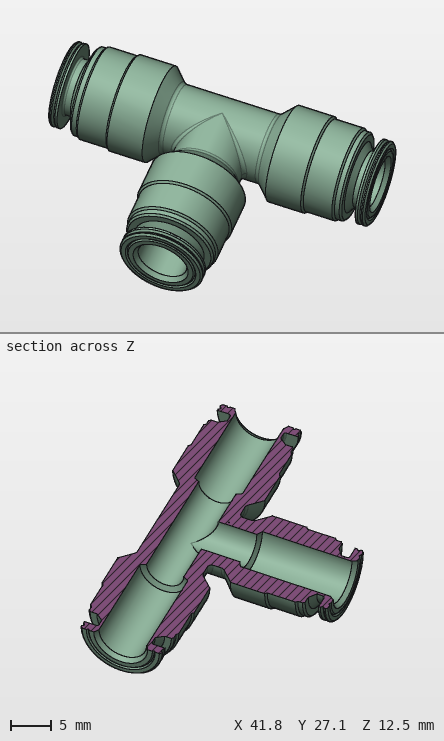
import cadquery as cq
import math

port_reach = 20.9
pipe_radius = 9.0 / 2
crotch_radius = 0.5

body_start = 8.15
body_radius = 12.5 / 2
sleeve_start = 13.05
sleeve_radius = 12.0 / 2
cap_start = 17.05
cap_radius = 11.5 / 2
cap_end = 17.95
step_bevel = 0.25
pipe_blend_radius = 0.7

collar_cone_radius = 4.6
neck_start = 18.65
neck_radius = 3.65
flange_start = 19.7
flange_radius = 5.48
groove_centre = 20.25
groove_half_width = 0.25
end_groove_radius = 4.47
end_groove_half_width = 0.19

flow_radius = 2.5
tube_radius = 3.2
mouth_radius = 3.65
mouth_depth = 0.63
tube_stop = body_start
stop_point_angle = 118
stop_length = (tube_radius - flow_radius) / math.tan(math.radians(stop_point_angle / 2))


def port_outside():
    """Solid port along +X, from the tee centre to the end face."""
    cone_start = body_start - (body_radius - pipe_radius)
    blend_mid_angle = math.radians(45) / 2
    blend_reach = pipe_blend_radius * math.tan(blend_mid_angle)
    blend_run = blend_reach * math.sqrt(0.5)
    blend_start = cone_start - blend_reach
    blend_mid = (
        blend_start + pipe_blend_radius * math.sin(blend_mid_angle),
        pipe_radius + pipe_blend_radius * (1 - math.cos(blend_mid_angle)),
    )
    blend_end = (cone_start + blend_run, pipe_radius + blend_run)
    neck_fillet_mid = step_bevel * (1 - math.sqrt(0.5))
    profile = (
        cq.Workplane("XY")
        .lineTo(0, pipe_radius)
        .lineTo(blend_start, pipe_radius)
        .threePointArc(blend_mid, blend_end)
        .lineTo(body_start, body_radius)
        .lineTo(sleeve_start - step_bevel, body_radius)
        .lineTo(sleeve_start, sleeve_radius)
        .lineTo(cap_start - step_bevel, sleeve_radius)
        .lineTo(cap_start, cap_radius)
        .lineTo(cap_end - step_bevel, cap_radius)
        .lineTo(cap_end, cap_radius - step_bevel)
        .lineTo(cap_end, collar_cone_radius)
        .lineTo(neck_start, neck_radius)
        .lineTo(flange_start - step_bevel, neck_radius)
        .threePointArc(
            (flange_start - neck_fillet_mid, neck_radius + neck_fillet_mid),
            (flange_start, neck_radius + step_bevel),
        )
        .lineTo(flange_start, flange_radius)
        .lineTo(groove_centre - groove_half_width, flange_radius)
        .lineTo(groove_centre, flange_radius - groove_half_width)
        .lineTo(groove_centre + groove_half_width, flange_radius)
        .lineTo(port_reach - step_bevel, flange_radius)
        .lineTo(port_reach, flange_radius - step_bevel)
        .lineTo(port_reach, end_groove_radius + end_groove_half_width)
        .lineTo(port_reach - end_groove_half_width, end_groove_radius)
        .lineTo(port_reach, end_groove_radius - end_groove_half_width)
        .lineTo(port_reach, 0)
        .close()
    )
    return profile.revolve(360, (0, 0, 0), (1, 0, 0))


def port_bore():
    """Stepped bore along +X, from the tee centre to the end face."""
    profile = (
        cq.Workplane("XY")
        .lineTo(0, flow_radius)
        .lineTo(tube_stop - stop_length, flow_radius)
        .lineTo(tube_stop, tube_radius)
        .lineTo(port_reach - mouth_depth, tube_radius)
        .lineTo(port_reach, mouth_radius)
        .lineTo(port_reach, 0)
        .close()
    )
    return profile.revolve(360, (0, 0, 0), (1, 0, 0))


def repeat_on_ports(port):
    """Copy of a +X port shape on the +X, -X and -Y arms, joined together."""
    tee = port
    for angle in (180, -90):
        tee = tee.union(port.rotate((0, 0, 0), (0, 0, 1), angle))
    return tee


def blend_crotch(tee):
    """Fillet the curved edges where the branch pipe meets the run."""
    edge_margin = 0.05
    reach = pipe_radius + edge_margin
    crotch_box = cq.selectors.BoxSelector(
        (-reach, -reach, -reach),
        (reach, edge_margin, reach),
        boundingbox=True,
    )
    return tee.edges(crotch_box).fillet(crotch_radius)


tee_body = blend_crotch(repeat_on_ports(port_outside()))
result = tee_body.cut(repeat_on_ports(port_bore()))